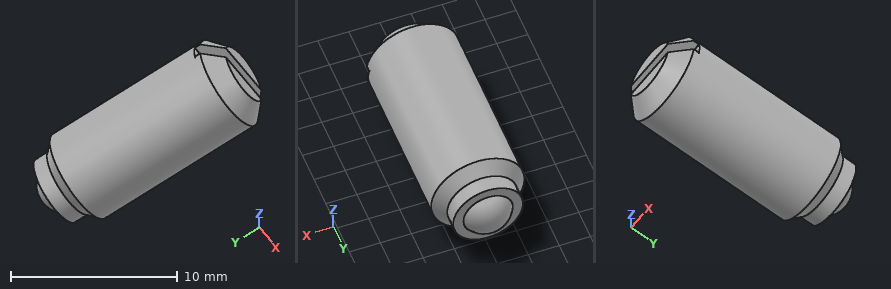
import cadquery as cq

overall_length = 15.0
body_radius = 3.0
end_chamfer = 1.1
collar_radius = 2.25
collar_length = 1.0
ball_radius = 1.75
ball_projection = 1.0
slot_width = 1.05
slot_depth = 1.5

housing_length = overall_length - ball_projection
collar_start = housing_length - collar_length
shoulder_start = collar_start - (body_radius - collar_radius)
ball_center = overall_length - ball_radius


def make_ball():
    """Detent ball, projecting from the collar end."""
    return cq.Workplane("XY").sphere(ball_radius).translate((0, ball_center, 0))


def make_slot_cutter():
    """Screwdriver slot running across the chamfered end along X."""
    return cq.Workplane("XY").box(
        2 * body_radius, slot_depth, slot_width, centered=(True, False, True)
    )


def make_housing(ball):
    """Turned sleeve with a screwdriver slot and a seat matching the ball."""
    blank = (
        cq.Workplane("XY")
        .polyline([
            (0, 0),
            (body_radius - end_chamfer, 0),
            (body_radius, end_chamfer),
            (body_radius, shoulder_start),
            (collar_radius, collar_start),
            (collar_radius, housing_length),
            (0, housing_length),
        ])
        .close()
        .revolve(360, (0, 0, 0), (0, 1, 0))
    )
    return blank.cut(make_slot_cutter()).cut(ball)


ball = make_ball()
housing = make_housing(ball)

result = cq.Compound.makeCompound([housing.val(), ball.val()])